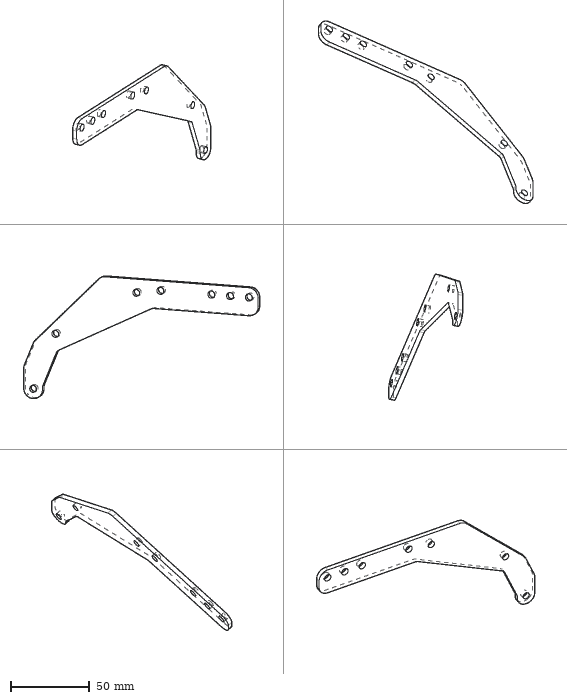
import cadquery as cq
import math

thickness = 3.2
length = 159.2
height = 83.0
arm_height = 18.3
leg_width = 12.7
end_radius = leg_width / 2
corner_radius = 6.4
inner_radius = 3.2

shoulder_y = length - 52.5
outer_knee_y = length - 7.0
armpit_y = length - 87.2
inner_knee_y = length - 22.6
inner_knee_z = 32.2
steep_slope = math.tan(math.radians(67.5))

arm_bottom_z = height - arm_height
leg_inner_y = length - leg_width
outer_knee_z = height - (outer_knee_y - shoulder_y)
leg_outer_top_z = outer_knee_z - (length - outer_knee_y) * steep_slope
leg_inner_top_z = inner_knee_z - (leg_inner_y - inner_knee_y) * steep_slope

row_hole_diameter = 4.6
bend_hole_diameter = 4.5
row_z = height - end_radius
row_pitch = 12.7
row_count = 3
lone_row_hole_y = 66.4
row_holes = [(end_radius + i * row_pitch, row_z) for i in range(row_count)]
row_holes.append((lone_row_hole_y, row_z))
bend_holes = [
    (82.8, 74.0),
    (137.7, 43.3),
    (length - end_radius, end_radius),
]

corners = [
    (0, arm_bottom_z, end_radius),
    (0, height, end_radius),
    (shoulder_y, height, corner_radius),
    (outer_knee_y, outer_knee_z, corner_radius),
    (length, leg_outer_top_z, corner_radius),
    (leg_inner_y, leg_inner_top_z, inner_radius),
    (inner_knee_y, inner_knee_z, inner_radius),
    (armpit_y, arm_bottom_z, corner_radius),
]


def make_blank():
    """Extrude the bent outline, with the leg ending in a half circle, and round its corners."""
    blank = (
        cq.Workplane("YZ")
        .polyline([(y, z) for y, z, _ in corners[:5]])
        .lineTo(length, end_radius)
        .threePointArc((length - end_radius, 0), (leg_inner_y, end_radius))
        .polyline([(y, z) for y, z, _ in corners[5:]], includeCurrent=True)
        .close()
        .extrude(thickness)
    )
    for y, z, radius in corners:
        corner_edge = cq.selectors.NearestToPointSelector((thickness / 2, y, z))
        blank = blank.edges("|X").edges(corner_edge).fillet(radius)
    return blank


def make_drills(points, diameter):
    """Cylinders through the full thickness at the given (y, z) points."""
    return cq.Workplane("YZ").pushPoints(points).circle(diameter / 2).extrude(thickness)


result = (
    make_blank()
    .cut(make_drills(row_holes, row_hole_diameter))
    .cut(make_drills(bend_holes, bend_hole_diameter))
)